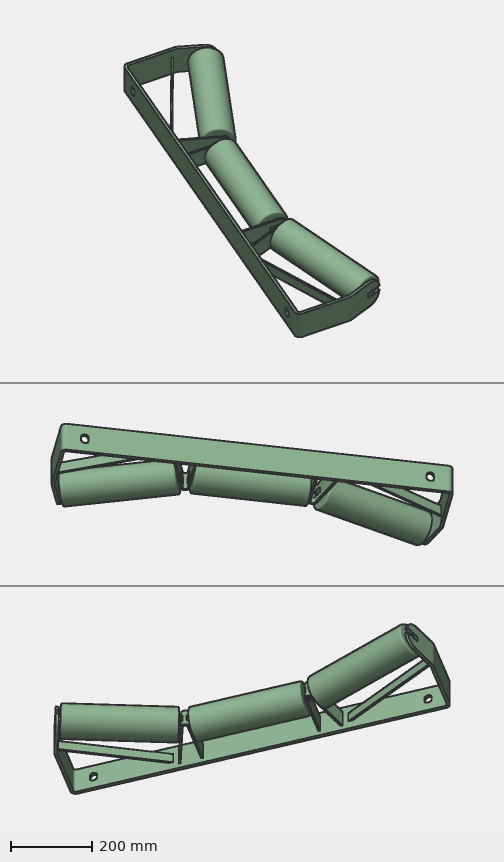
import cadquery as cq
import math

FRAME_LENGTH = 980.0
STRIP_HEIGHT = 80.0
FRAME_THICKNESS = 8.0
CORNER_RADIUS = 14.0
BEND_Y = 146.0
TAB_LENGTH = 104.0
TAB_TIP_RADIUS = 35.0
MOUNT_SLOT_X = 432.0
MOUNT_SLOT_WIDTH = 19.0
MOUNT_SLOT_HEIGHT = 26.0

TROUGH_ANGLE = 20.0
ROLLER_DIAMETER = 89.0
ROLLER_LENGTH = 291.0
ROLLER_EDGE_RADIUS = 5.0
SHAFT_DIAMETER = 21.0
SHAFT_FLATS = 15.0
CENTER_ROLLER_Y = 100.0
SIDE_AXIS_ON_TAB = 73.0

BRACKET_THICKNESS = 5.0
BRACKET_HEIGHT = 50.0
BRACKET_BEND_RADIUS = 11.0
CENTER_LEG_X = 149.0
SIDE_LEG_FOOT_X = 212.0

BRACE_THICKNESS = 5.0
BRACE_HEIGHT = 29.0
BRACE_WALL_Y = 135.0
BRACE_FOOT_X = 226.0

LEAN_SIN = math.sin(math.radians(TROUGH_ANGLE))
LEAN_COS = math.cos(math.radians(TROUGH_ANGLE))
LEAN_TAN = LEAN_SIN / LEAN_COS
WALL_X = FRAME_LENGTH / 2
WALL_INNER_X = WALL_X - FRAME_THICKNESS

TAB_PLANE = cq.Plane(
    origin=(-WALL_X, BEND_Y, 0),
    xDir=(LEAN_SIN, LEAN_COS, 0),
    normal=(-LEAN_COS, LEAN_SIN, 0),
)

SIDE_LEG_OFFSET = (
    (WALL_X - SIDE_LEG_FOOT_X) * LEAN_COS
    + (BEND_Y - FRAME_THICKNESS) * LEAN_SIN
)
SIDE_SHAFT_LENGTH = SIDE_LEG_OFFSET + BRACKET_THICKNESS
SIDE_ROLLER_OFFSET = (FRAME_THICKNESS + SIDE_LEG_OFFSET) / 2
CENTER_SHAFT_LENGTH = 2 * (CENTER_LEG_X + BRACKET_THICKNESS)

SIDE_AXIS_PLANE = cq.Plane(
    origin=TAB_PLANE.toWorldCoords((SIDE_AXIS_ON_TAB, 0, 0)),
    xDir=(LEAN_SIN, LEAN_COS, 0),
    normal=(LEAN_COS, -LEAN_SIN, 0),
)
CENTER_AXIS_PLANE = cq.Plane(
    origin=(-CENTER_SHAFT_LENGTH / 2, CENTER_ROLLER_Y, 0),
    xDir=(0, 1, 0),
    normal=(1, 0, 0),
)


def mirrored(body):
    return body.mirror("YZ")


def make_shaft(plane, length):
    """Round bar with two flats, facing up and down."""
    bar = cq.Workplane(plane).circle(SHAFT_DIAMETER / 2).extrude(length)
    flats = cq.Workplane(plane).rect(SHAFT_DIAMETER, SHAFT_FLATS).extrude(length)
    return bar.intersect(flats)


def make_shaft_slot(plane, length, depth):
    """Space of a shaft together with its way out across the axis."""
    way_out = (
        cq.Workplane(plane)
        .center(depth / 2, 0)
        .rect(depth, SHAFT_FLATS)
        .extrude(length)
    )
    return make_shaft(plane, length).union(way_out)


def make_roller(plane, shaft_length, roller_center):
    shell = (
        cq.Workplane(plane)
        .workplane(offset=roller_center - ROLLER_LENGTH / 2)
        .circle(ROLLER_DIAMETER / 2)
        .extrude(ROLLER_LENGTH)
        .edges("%CIRCLE")
        .fillet(ROLLER_EDGE_RADIUS)
    )
    return shell.union(make_shaft(plane, shaft_length))


def make_tab_trim():
    """Material outside the two rounded corners of the left tab."""
    blank = (
        cq.Workplane(TAB_PLANE)
        .center(TAB_LENGTH - TAB_TIP_RADIUS / 2, 0)
        .rect(TAB_TIP_RADIUS, STRIP_HEIGHT)
        .extrude(-FRAME_THICKNESS)
    )
    tip_end = cq.selectors.DirectionMinMaxSelector(TAB_PLANE.xDir, True)
    tip = blank.edges(cq.selectors.ParallelDirSelector(TAB_PLANE.zDir)).edges(tip_end).fillet(TAB_TIP_RADIUS * 0.999)
    return blank.cut(tip)


def make_frame():
    inner_bend_y = BEND_Y - FRAME_THICKNESS * math.tan(math.radians(TROUGH_ANGLE / 2))
    tab_outer_tip = TAB_PLANE.toWorldCoords((TAB_LENGTH, 0, 0))
    tab_inner_tip = TAB_PLANE.toWorldCoords((TAB_LENGTH, 0, -FRAME_THICKNESS))
    left_outline = [
        (0, 0),
        (-WALL_X, 0),
        (-WALL_X, BEND_Y),
        (tab_outer_tip.x, tab_outer_tip.y),
        (tab_inner_tip.x, tab_inner_tip.y),
        (-WALL_INNER_X, inner_bend_y),
        (-WALL_INNER_X, FRAME_THICKNESS),
        (0, FRAME_THICKNESS),
    ]
    half = (
        cq.Workplane("XY")
        .polyline(left_outline)
        .close()
        .extrude(STRIP_HEIGHT / 2, both=True)
    )
    inner_radius = CORNER_RADIUS - FRAME_THICKNESS
    for x, y, radius in [
        (-WALL_X, 0, CORNER_RADIUS),
        (-WALL_X, BEND_Y, CORNER_RADIUS),
        (-WALL_INNER_X, FRAME_THICKNESS, inner_radius),
        (-WALL_INNER_X, inner_bend_y, inner_radius),
    ]:
        corner = cq.selectors.NearestToPointSelector((x, y, 0))
        half = half.edges("|Z").edges(corner).fillet(radius)

    mount_slot = (
        cq.Workplane("XZ")
        .center(-MOUNT_SLOT_X, 0)
        .slot2D(MOUNT_SLOT_HEIGHT, MOUNT_SLOT_WIDTH, 90)
        .extrude(-FRAME_THICKNESS)
    )
    shaft_slot = make_shaft_slot(SIDE_AXIS_PLANE, FRAME_THICKNESS, TAB_LENGTH)
    half = half.cut(make_tab_trim()).cut(shaft_slot).cut(mount_slot)
    return half.union(mirrored(half))


def bracket_wedge(center_x, side_foot_x, bend_radius):
    """Wedge between a vertical face and a leaning face, rounded at the top."""
    apex_y = FRAME_THICKNESS + (side_foot_x - center_x) / LEAN_TAN
    return (
        cq.Workplane("XY")
        .polyline([
            (-center_x, FRAME_THICKNESS),
            (-center_x, apex_y),
            (-side_foot_x, FRAME_THICKNESS),
        ])
        .close()
        .extrude(BRACKET_HEIGHT / 2, both=True)
        .edges("|Z and >Y")
        .fillet(bend_radius)
    )


def make_bracket():
    outside = bracket_wedge(CENTER_LEG_X, SIDE_LEG_FOOT_X, BRACKET_BEND_RADIUS)
    inside = bracket_wedge(
        CENTER_LEG_X + BRACKET_THICKNESS,
        SIDE_LEG_FOOT_X - BRACKET_THICKNESS / LEAN_COS,
        BRACKET_BEND_RADIUS - BRACKET_THICKNESS,
    )
    bracket = outside.cut(inside)
    for plane, length in [
        (SIDE_AXIS_PLANE, SIDE_SHAFT_LENGTH),
        (CENTER_AXIS_PLANE, BRACKET_THICKNESS),
    ]:
        bracket = bracket.cut(make_shaft_slot(plane, length, TAB_LENGTH))
    return bracket


def make_brace():
    slope = math.atan2(BRACE_WALL_Y - FRAME_THICKNESS, WALL_INNER_X - BRACE_FOOT_X)
    return (
        cq.Workplane("XY")
        .polyline([
            (-WALL_INNER_X, BRACE_WALL_Y),
            (-BRACE_FOOT_X, FRAME_THICKNESS),
            (-BRACE_FOOT_X - BRACE_THICKNESS / math.sin(slope), FRAME_THICKNESS),
            (-WALL_INNER_X, BRACE_WALL_Y - BRACE_THICKNESS / math.cos(slope)),
        ])
        .close()
        .extrude(BRACE_HEIGHT / 2, both=True)
    )


frame = make_frame()
left_bodies = [
    make_bracket(),
    make_brace(),
    make_roller(SIDE_AXIS_PLANE, SIDE_SHAFT_LENGTH, SIDE_ROLLER_OFFSET),
]
center_roller = make_roller(CENTER_AXIS_PLANE, CENTER_SHAFT_LENGTH, CENTER_SHAFT_LENGTH / 2)

solids = [frame.val(), center_roller.val()]
for body in left_bodies:
    solids.append(body.val())
    solids.append(mirrored(body).val())

result = cq.Compound.makeCompound(solids)